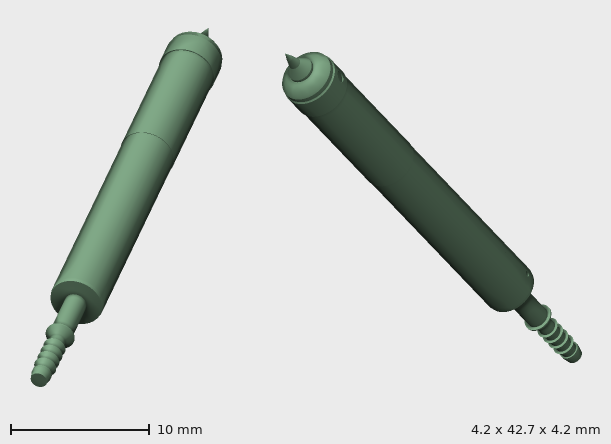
import cadquery as cq


tip_radius = 0.24
tip_length = 0.68
needle_radius = 0.45
needle_length = 1.45
head_radius = 0.96
head_cone_length = 0.78
head_rim_length = 0.23

dome_start_radius = 1.02
nose_radius = 2.00
dome_length = 0.69
dome_bulge = 0.09
nose_length = 0.47
collar_radius = 2.10
collar_length = 1.80
sleeve_radius = 2.02
sleeve_length = 9.95

barrel_radius = 1.98
barrel_length = 17.91
barrel_chamfer_length = 0.25
barrel_chamfer_depth = 0.05
end_cone_length = 0.12

rod_radius = 0.83
rod_length = 3.86
flange_radius = 1.08
flange_rim_length = 0.10
flange_cone_length = 0.63
post_radius = 0.61
neck_length = 0.74
barb_count = 4
barb_pitch = 0.78
barb_radius = 0.83
barb_cone_length = 0.55
end_barb_radius = 0.73
end_barb_rim_length = 0.22
end_barb_cone_length = 0.63

collar_dimple_radius = 0.42
collar_dimple_y = 0.97
barrel_dimple_radius = 0.20
barrel_dimple_inset = 1.05
dimple_depth = 0.10

nose_back = collar_length
dome_back = nose_back + nose_length
head_back = dome_back + dome_length
head_front = head_back + head_rim_length
needle_back = head_front + head_cone_length
needle_front = needle_back + needle_length
tip_back = needle_front - tip_length
collar_chamfer = collar_radius - nose_radius
sleeve_back = -sleeve_length
barrel_back = sleeve_back - barrel_length
rod_front = barrel_back - end_cone_length
flange_front = rod_front - rod_length
flange_cone_front = flange_front - flange_rim_length
neck_front = flange_cone_front - flange_cone_length
first_barb = neck_front - neck_length
end_barb = first_barb - barb_count * barb_pitch
end_barb_cone = end_barb - end_barb_rim_length
post_back = end_barb_cone - end_barb_cone_length


def revolve(profile):
    """Turn a half profile, closed along the Y axis, into a solid."""
    return profile.close().revolve(360, (0, 0, 0), (0, 1, 0))


def front_end():
    """Needle, head, domed nose and collar, down to the shoulder."""
    dome_middle = (
        (dome_start_radius + nose_radius) / 2 + dome_bulge,
        (head_back + dome_back) / 2 + dome_bulge,
    )
    return revolve(
        cq.Workplane("XY")
        .moveTo(0, needle_front)
        .lineTo(tip_radius, tip_back)
        .lineTo(needle_radius, needle_back)
        .lineTo(head_radius, head_front)
        .lineTo(head_radius, head_back)
        .lineTo(dome_start_radius, head_back)
        .threePointArc(dome_middle, (nose_radius, dome_back))
        .lineTo(nose_radius, nose_back + collar_chamfer)
        .lineTo(collar_radius, nose_back)
        .lineTo(collar_radius, 0)
        .lineTo(0, 0)
    )


def body():
    """Sleeve and barrel, with the chamfered rear edge and the shallow end cone."""
    return revolve(
        cq.Workplane("XY")
        .moveTo(0, 0)
        .lineTo(sleeve_radius, 0)
        .lineTo(sleeve_radius, sleeve_back)
        .lineTo(barrel_radius, sleeve_back)
        .lineTo(barrel_radius, barrel_back + barrel_chamfer_length)
        .lineTo(barrel_radius - barrel_chamfer_depth, barrel_back)
        .lineTo(rod_radius, rod_front)
        .lineTo(0, rod_front)
    )


def tail():
    """Rod, flange and barbed post."""
    profile = (
        cq.Workplane("XY")
        .moveTo(0, rod_front)
        .lineTo(rod_radius, rod_front)
        .lineTo(rod_radius, flange_front)
        .lineTo(flange_radius, flange_front)
        .lineTo(flange_radius, flange_cone_front)
        .lineTo(post_radius, neck_front)
    )
    for index in range(barb_count):
        barb_front = first_barb - index * barb_pitch
        profile = (
            profile.lineTo(post_radius, barb_front)
            .lineTo(barb_radius, barb_front)
            .lineTo(post_radius, barb_front - barb_cone_length)
        )
    return revolve(
        profile.lineTo(post_radius, end_barb)
        .lineTo(end_barb_radius, end_barb)
        .lineTo(end_barb_radius, end_barb_cone)
        .lineTo(post_radius, post_back)
        .lineTo(0, post_back)
    )


def dimple(y, radius, surface_radius):
    """Cutter for a shallow round dimple in the -X side."""
    return (
        cq.Workplane("YZ", origin=(dimple_depth - surface_radius, y, 0))
        .circle(radius)
        .extrude(-2 * dimple_depth)
    )


result = (
    front_end()
    .union(body())
    .union(tail())
    .cut(dimple(collar_dimple_y, collar_dimple_radius, collar_radius))
    .cut(dimple(barrel_back + barrel_dimple_inset, barrel_dimple_radius, barrel_radius))
)